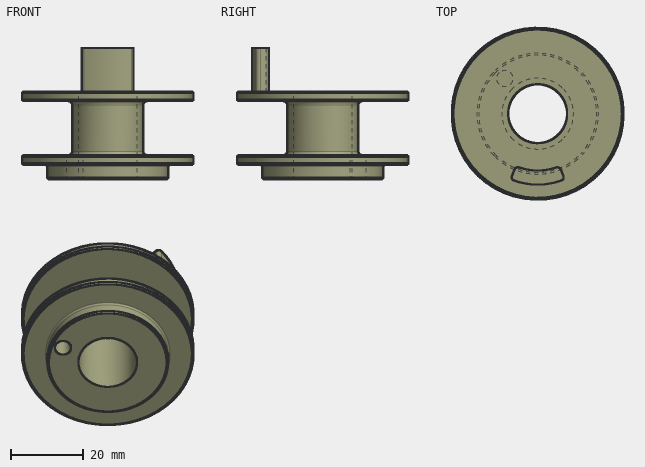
import cadquery as cq
import math

flange_diameter = 47.5
flange_thickness = 2.7
core_diameter = 19.7
core_length = 14.9
hub_diameter = 33.5
hub_height = 4.0
bore_diameter = 16.2
edge_chamfer = 0.5
core_fillet = 1.0
hub_fillet = 0.5

tab_inner_radius = 15.7
tab_outer_radius = 19.6
tab_height = 12.0
tab_half_angle = 22.5
tab_corner_radius = 1.0
tab_direction = -90.0

pin_hole_diameter = 4.5
pin_hole_circle_radius = 13.3
pin_hole_direction = 133.0

lower_flange_bottom = hub_height
lower_flange_top = lower_flange_bottom + flange_thickness
upper_flange_bottom = lower_flange_top + core_length
upper_flange_top = upper_flange_bottom + flange_thickness


def polar_point(radius, angle):
    """Point in the XY plane at a radius and an angle in degrees."""
    return (
        radius * math.cos(math.radians(angle)),
        radius * math.sin(math.radians(angle)),
    )


def disc(diameter, bottom, height):
    """Plain cylinder on the spool axis."""
    return cq.Workplane("XY").workplane(offset=bottom).circle(diameter / 2).extrude(height)


def flange(bottom):
    """Disc with both rims chamfered."""
    return disc(flange_diameter, bottom, flange_thickness).edges().chamfer(edge_chamfer)


def root_fillet(diameter, flange_face, radius, direction):
    """Ring with a concave quarter-round, blending a cylinder into a flange face.

    direction is +1 when the cylinder rises from the face and -1 when it hangs below it.
    """
    cylinder_radius = diameter / 2
    centre_r = cylinder_radius + radius
    centre_z = flange_face + direction * radius
    arc_reach = radius * math.sqrt(0.5)
    arc_middle = (centre_r - arc_reach, centre_z - direction * arc_reach)
    inside_radius = bore_diameter / 2
    return (
        cq.Workplane("XZ")
        .moveTo(inside_radius, flange_face)
        .lineTo(centre_r, flange_face)
        .threePointArc(arc_middle, (cylinder_radius, centre_z))
        .lineTo(inside_radius, centre_z)
        .close()
        .revolve(360, (0, 0, 0), (0, 1, 0))
    )


def spool_body():
    """Hub, two flanges and the core between them, with filleted roots."""
    hub = disc(hub_diameter, 0, hub_height).faces("<Z").edges().chamfer(edge_chamfer)
    return (
        hub.union(flange(lower_flange_bottom))
        .union(disc(core_diameter, lower_flange_top, core_length))
        .union(flange(upper_flange_bottom))
        .union(root_fillet(hub_diameter, lower_flange_bottom, hub_fillet, -1))
        .union(root_fillet(core_diameter, lower_flange_top, core_fillet, 1))
        .union(root_fillet(core_diameter, upper_flange_bottom, core_fillet, -1))
    )


def tab():
    """Ring sector with radial ends and rounded upright corners."""
    start_angle = tab_direction - tab_half_angle
    end_angle = tab_direction + tab_half_angle
    return (
        cq.Workplane("XY")
        .workplane(offset=upper_flange_top)
        .moveTo(*polar_point(tab_inner_radius, start_angle))
        .threePointArc(
            polar_point(tab_inner_radius, tab_direction),
            polar_point(tab_inner_radius, end_angle),
        )
        .lineTo(*polar_point(tab_outer_radius, end_angle))
        .threePointArc(
            polar_point(tab_outer_radius, tab_direction),
            polar_point(tab_outer_radius, start_angle),
        )
        .close()
        .extrude(tab_height)
        .edges("|Z")
        .fillet(tab_corner_radius)
    )


def pin_hole():
    """Cutter for the small hole, reaching from the underside to the lower flange top."""
    return disc(pin_hole_diameter, 0, lower_flange_top).translate(
        polar_point(pin_hole_circle_radius, pin_hole_direction) + (0,)
    )


bore = disc(bore_diameter, 0, upper_flange_top)
result = spool_body().union(tab()).cut(bore).cut(pin_hole())